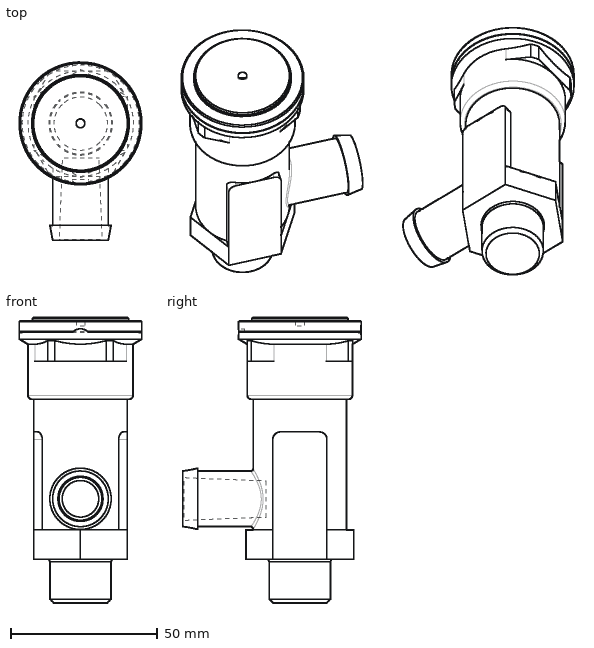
import cadquery as cq
import math

TOTAL_HEIGHT = 97.65
COLLAR_BOTTOM = 14.1
HEX_BOTTOM = 14.9
HEX_TOP = 25.0
PORT_HEIGHT = 35.6
PAD_TOP = 58.5
BONNET_BOTTOM = 69.6
WRENCH_BOTTOM = 82.7
FLANGE_EDGE = 90.2
FLANGE_TOP = 92.6
KNOB_TOP = 96.6

INLET_RADIUS = 21.0 / 2
INLET_CHAMFER = 1.4
COLLAR_RADIUS = 10.8
BARREL_RADIUS = 32.0 / 2
HEX_SIDE = 2 * BARREL_RADIUS / math.sqrt(3)
PAD_CORNER_RADIUS = 2.5

BONNET_RADIUS = 36.0 / 2
BONNET_FILLET = 1.5
WRENCH_CORNER_RADIUS = 20.0
FLANGE_RADIUS = 42.0 / 2
FLANGE_CONE_DROP = 1.8

PORT_LENGTH = 40.0
PORT_RADIUS = 19.0 / 2
BARB_RADIUS = 21.0 / 2
BARB_LENGTH = 5.2
PORT_ROOT_FILLET = 0.8
BORE_RADIUS = 7.3
BORE_CHAMFER = 0.4
BORE_FLOOR_RADIUS = 6.25
BORE_END = 11.7

KNOB_GAP = 0.3
GAP_DEPTH = 1.0
KNOB_CHAMFER = 0.5
DISC_RADIUS = 33.0 / 2
DISC_CHAMFER = 0.5
DISC_GROOVE_WIDTH = 0.2
DISC_GROOVE_DEPTH = 0.5
VENT_RADIUS = 3.0 / 2
VENT_DEPTH = 2.9

CAM_HALF_WIDTH = 2.7
CAM_HEIGHT = 1.2
CAM_DEPTH = 2.0


def revolve_profile(points):
    """Revolve a closed (radius, height) outline about Z."""
    return cq.Workplane("XZ").polyline(points).close().revolve(360, (0, 0), (0, 1))


def cylinder(radius, bottom, top):
    return cq.Workplane("XY").workplane(offset=bottom).circle(radius).extrude(top - bottom)


def hexagon(across_flats, bottom, top, turn):
    """Hexagonal prism, its corners turned by `turn` degrees from the X axis."""
    corner_diameter = 2 * across_flats / math.sqrt(3)
    prism = cq.Workplane("XY").workplane(offset=bottom).polygon(6, corner_diameter).extrude(top - bottom)
    return prism.rotate((0, 0, 0), (0, 0, 1), turn)


def make_inlet():
    return revolve_profile([
        (0, 0),
        (INLET_RADIUS - INLET_CHAMFER, 0),
        (INLET_RADIUS, INLET_CHAMFER),
        (INLET_RADIUS, COLLAR_BOTTOM),
        (COLLAR_RADIUS, HEX_BOTTOM),
        (0, HEX_BOTTOM),
    ])


def make_side_pads():
    """Two base hexagon flats continued up the barrel, with rounded upper corners."""
    pads = cq.Workplane("XY").workplane(offset=HEX_BOTTOM).rect(2 * BARREL_RADIUS, HEX_SIDE)
    pads = pads.extrude(PAD_TOP - HEX_BOTTOM)
    return pads.edges("|X and >Z").fillet(PAD_CORNER_RADIUS)


def make_port():
    """Hose connection; heights of its profile are distances out from the valve axis."""
    barb_start = PORT_LENGTH - BARB_LENGTH
    port = revolve_profile([
        (0, 0),
        (PORT_RADIUS, 0),
        (PORT_RADIUS, barb_start),
        (BARB_RADIUS, barb_start),
        (PORT_RADIUS, PORT_LENGTH),
        (0, PORT_LENGTH),
    ])
    return place_along_port(port)


def make_port_bore():
    """Blind bore, tapering slightly down to a flat floor."""
    bore = revolve_profile([
        (0, BORE_END),
        (BORE_FLOOR_RADIUS, BORE_END),
        (BORE_RADIUS, PORT_LENGTH - BORE_CHAMFER),
        (BORE_RADIUS + BORE_CHAMFER, PORT_LENGTH),
        (0, PORT_LENGTH),
    ])
    return place_along_port(bore)


def place_along_port(shape):
    return shape.rotate((0, 0, 0), (1, 0, 0), 90).translate((0, 0, PORT_HEIGHT))


def make_bonnet():
    bonnet = cylinder(BONNET_RADIUS, BONNET_BOTTOM, FLANGE_EDGE).faces("<Z").edges().fillet(BONNET_FILLET)
    flange = revolve_profile([
        (0, FLANGE_EDGE - FLANGE_CONE_DROP),
        (BONNET_RADIUS, FLANGE_EDGE - FLANGE_CONE_DROP),
        (FLANGE_RADIUS, FLANGE_EDGE),
        (FLANGE_RADIUS, FLANGE_TOP),
        (0, FLANGE_TOP),
    ])
    return bonnet.union(make_wrench_corners()).union(flange)


def make_wrench_corners():
    """Hexagon with four rounded corners; the two on the X axis are left off."""
    corners = hexagon(2 * BONNET_RADIUS, WRENCH_BOTTOM, FLANGE_EDGE, 0)
    corners = corners.intersect(cylinder(WRENCH_CORNER_RADIUS, WRENCH_BOTTOM, FLANGE_EDGE))
    tangent_x = BONNET_RADIUS * math.cos(math.radians(30))
    band = cq.Workplane("XY").workplane(offset=WRENCH_BOTTOM)
    band = band.rect(2 * tangent_x, 2 * FLANGE_RADIUS).extrude(FLANGE_EDGE - WRENCH_BOTTOM)
    return corners.intersect(band)


def make_cam():
    """Arc-topped block at the -Y rim, cut to the flange radius."""
    cam = (
        cq.Workplane("XZ", origin=(0, CAM_DEPTH - FLANGE_RADIUS, FLANGE_TOP))
        .moveTo(-CAM_HALF_WIDTH, 0)
        .threePointArc((0, CAM_HEIGHT), (CAM_HALF_WIDTH, 0))
        .close()
        .extrude(CAM_DEPTH)
    )
    return cam.intersect(cylinder(FLANGE_RADIUS, FLANGE_TOP, KNOB_TOP))


def make_housing():
    barrel = cylinder(BARREL_RADIUS, HEX_BOTTOM, BONNET_BOTTOM)
    housing = barrel.union(make_port())
    root_box = cq.selectors.BoxSelector(
        (-BARREL_RADIUS, -BARREL_RADIUS - 1, HEX_TOP),
        (BARREL_RADIUS, -BARREL_RADIUS / 2, PAD_TOP),
    )
    housing = housing.edges(root_box).fillet(PORT_ROOT_FILLET)
    base_hex = hexagon(2 * BARREL_RADIUS, HEX_BOTTOM, HEX_TOP, 30)
    for piece in (make_side_pads(), base_hex, make_inlet(), make_bonnet(), make_cam()):
        housing = housing.union(piece)
    return housing.cut(make_port_bore())


def make_knob():
    knob = revolve_profile([
        (0, FLANGE_TOP),
        (FLANGE_RADIUS - GAP_DEPTH, FLANGE_TOP),
        (FLANGE_RADIUS - GAP_DEPTH, FLANGE_TOP + KNOB_GAP),
        (FLANGE_RADIUS, FLANGE_TOP + KNOB_GAP),
        (FLANGE_RADIUS, KNOB_TOP - KNOB_CHAMFER),
        (FLANGE_RADIUS - KNOB_CHAMFER, KNOB_TOP),
        (DISC_RADIUS + DISC_GROOVE_WIDTH, KNOB_TOP),
        (DISC_RADIUS + DISC_GROOVE_WIDTH, KNOB_TOP - DISC_GROOVE_DEPTH),
        (DISC_RADIUS, KNOB_TOP - DISC_GROOVE_DEPTH),
        (DISC_RADIUS, TOTAL_HEIGHT - DISC_CHAMFER),
        (DISC_RADIUS - DISC_CHAMFER, TOTAL_HEIGHT),
        (0, TOTAL_HEIGHT),
    ])
    vent = cylinder(VENT_RADIUS, TOTAL_HEIGHT - VENT_DEPTH, TOTAL_HEIGHT)
    return knob.cut(vent).cut(make_cam())


housing = make_housing()
knob = make_knob()
result = cq.Compound.makeCompound([housing.val(), knob.val()])